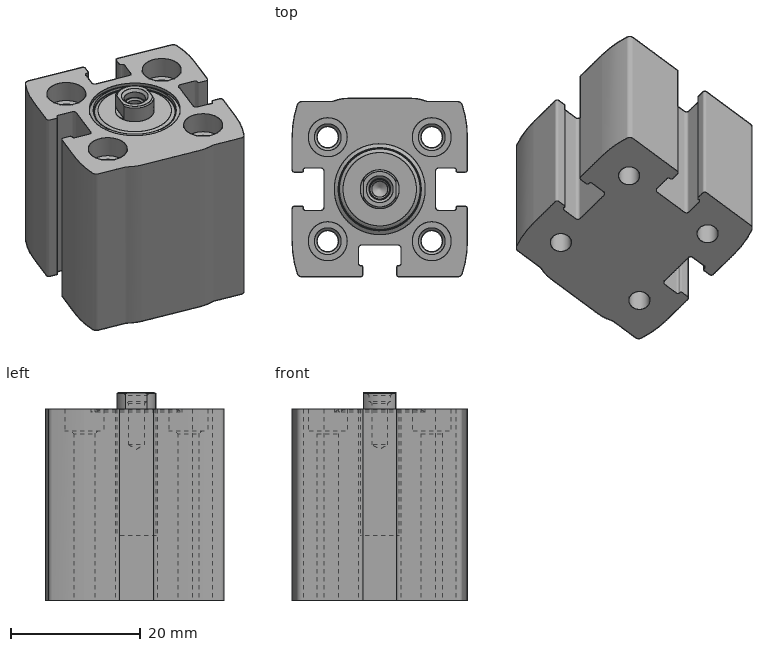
import cadquery as cq
import math

HEIGHT = 29.5
HALF = 13.5
SIDE_FLAT_HALF = 8.0
SIDE_RADIUS = 16.0
CORNER_RADIUS = 0.8

CROWN_RISE = 0.5
CROWN_TOP_HALF = 4.8
CROWN_FOOT_HALF = 7.3
CROWN_FOOT_RADIUS = 1.0

SLOT_MOUTH = 5.2
SLOT_WIDTH = 6.5
SLOT_DEPTH = 4.9
LIP_THICKNESS = 1.75
SLOT_FLOOR_RADIUS = 0.5
LIP_ROOT_RADIUS = 0.3
LIP_INNER_RADIUS = 0.25
LIP_OUTER_RADIUS = 0.4
SLOT_ANGLES = (-90, 0, 90)

MOUNT_PITCH = 16.0
MOUNT_BORE = 3.24
MOUNT_CHAMFER_BORE = 4.13
COUNTERBORE = 6.0
COUNTERBORE_DEPTH = 3.4

RECESS_RADIUS = 7.0
RECESS_DEPTH = 0.5
BEVEL_TOP_RADIUS = 6.4
BEVEL_TOP_DEPTH = 0.15
GROOVE_OUTER_RADIUS = 6.3
GROOVE_INNER_RADIUS = 6.2
GROOVE_DEPTH = 0.5
SHOULDER_RADIUS = 5.9
SHOULDER_DEPTH = 0.3
FACE_RADIUS = 5.65
FACE_DEPTH = 0.2

ROD_TOP = HEIGHT + 2.5
ROD_BOTTOM = 10.0
ROD_RADIUS = 3.0
ROD_CHAMFER_HEIGHT = 0.15
ROD_CHAMFER_WIDTH = 0.27
FLATS_WIDTH = 5.0
RUNOUT_TOP = HEIGHT
RUNOUT_BOTTOM = HEIGHT - FACE_DEPTH

COUNTERSINK_DIAMETER = 4.13
RELIEF_DIAMETER = 3.3
RELIEF_DEPTH = 1.4
THREAD_ENTRY_DIAMETER = 3.0
THREAD_BORE = 2.46
THREAD_DEPTH = 8.0
CONE_ANGLE = 90.0
DRILL_TIP_ANGLE = 118.0


def revolve_about_z(points):
    """Solid of revolution from (radius, z) points."""
    return cq.Workplane("XZ").polyline(points).close().revolve(360, (0, 0), (0, 1))


def make_cylinder(radius, bottom_z, top_z):
    return cq.Workplane("XY", origin=(0, 0, bottom_z)).circle(radius).extrude(top_z - bottom_z)


def cone_height(outer_diameter, inner_diameter, included_angle):
    return (outer_diameter - inner_diameter) / 2 / math.tan(math.radians(included_angle / 2))


def block(width, y_min, y_max):
    """Full-height block centred on X."""
    return cq.Workplane("XY").center(0, (y_min + y_max) / 2).rect(width, y_max - y_min).extrude(HEIGHT)


def fillet_upright_pair(body, x, y, radius):
    """Fillet the upright edges that stand at (-x, y) and (x, y)."""
    reach = 0.01
    pair = cq.selectors.BoxSelector((-x - reach, y - reach, 0), (x + reach, y + reach, HEIGHT))
    return body.edges("|Z").edges(pair).fillet(radius)


def make_barrel():
    """Square block with bowed side walls and rounded corners."""
    bow_length = HALF - SIDE_FLAT_HALF
    corner_x = HALF - SIDE_RADIUS + math.sqrt(SIDE_RADIUS**2 - bow_length**2)
    half_bow = math.asin(bow_length / SIDE_RADIUS) / 2
    mid_x = HALF - SIDE_RADIUS * (1 - math.cos(half_bow))
    mid_y = SIDE_FLAT_HALF + SIDE_RADIUS * math.sin(half_bow)
    barrel = (
        cq.Workplane("XY")
        .moveTo(HALF, -SIDE_FLAT_HALF)
        .lineTo(HALF, SIDE_FLAT_HALF)
        .threePointArc((mid_x, mid_y), (corner_x, HALF))
        .lineTo(-corner_x, HALF)
        .threePointArc((-mid_x, mid_y), (-HALF, SIDE_FLAT_HALF))
        .lineTo(-HALF, -SIDE_FLAT_HALF)
        .threePointArc((-mid_x, -mid_y), (-corner_x, -HALF))
        .lineTo(corner_x, -HALF)
        .threePointArc((mid_x, -mid_y), (HALF, -SIDE_FLAT_HALF))
        .close()
        .extrude(HEIGHT)
    )
    return barrel.edges("|Z").edges("<Y or >Y").fillet(CORNER_RADIUS)


def make_crown():
    """Strip on the +Y wall whose flat top falls away to the wall along an arc at each end."""
    arc_run = CROWN_FOOT_HALF - CROWN_TOP_HALF
    arc_radius = (arc_run**2 + CROWN_RISE**2) / (2 * CROWN_RISE)
    top_y = HALF + CROWN_RISE
    return (
        cq.Workplane("XY")
        .moveTo(-CROWN_FOOT_HALF, HALF)
        .radiusArc((-CROWN_TOP_HALF, top_y), arc_radius)
        .lineTo(CROWN_TOP_HALF, top_y)
        .radiusArc((CROWN_FOOT_HALF, HALF), arc_radius)
        .close()
        .extrude(HEIGHT)
    )


def make_slot_cutter():
    """T-slot of the -Y wall, widening into the open space outside the wall."""
    lip_y = -HALF + LIP_THICKNESS
    pocket = block(SLOT_WIDTH, lip_y, -HALF + SLOT_DEPTH)
    pocket = pocket.edges("|Z and >Y").fillet(SLOT_FLOOR_RADIUS)
    pocket = pocket.edges("|Z and <Y").fillet(LIP_ROOT_RADIUS)
    neck = block(SLOT_MOUTH, -HALF, lip_y)
    outside = block(2 * SLOT_WIDTH, -HALF - LIP_THICKNESS, -HALF)
    cutter = pocket.union(neck).union(outside)
    cutter = fillet_upright_pair(cutter, SLOT_MOUTH / 2, lip_y, LIP_INNER_RADIUS)
    return fillet_upright_pair(cutter, SLOT_MOUTH / 2, -HALF, LIP_OUTER_RADIUS)


def make_mount_hole_cutter():
    """Through hole with a chamfered counterbore, on the Z axis."""
    seat_z = HEIGHT - COUNTERBORE_DEPTH
    chamfer = (MOUNT_CHAMFER_BORE - MOUNT_BORE) / 2
    return revolve_about_z([
        (0, 0),
        (MOUNT_BORE / 2, 0),
        (MOUNT_BORE / 2, seat_z - chamfer),
        (MOUNT_CHAMFER_BORE / 2, seat_z),
        (COUNTERBORE / 2, seat_z),
        (COUNTERBORE / 2, HEIGHT),
        (0, HEIGHT),
    ])


def make_face_cutter():
    """Material removed above the bevelled ring, the groove and the flat face around the rod."""
    return revolve_about_z([
        (0, HEIGHT),
        (RECESS_RADIUS, HEIGHT),
        (RECESS_RADIUS, HEIGHT - RECESS_DEPTH),
        (BEVEL_TOP_RADIUS, HEIGHT - BEVEL_TOP_DEPTH),
        (GROOVE_OUTER_RADIUS, HEIGHT - GROOVE_DEPTH),
        (GROOVE_INNER_RADIUS, HEIGHT - GROOVE_DEPTH),
        (SHOULDER_RADIUS, HEIGHT - SHOULDER_DEPTH),
        (FACE_RADIUS, HEIGHT - FACE_DEPTH),
        (0, HEIGHT - FACE_DEPTH),
    ])


def make_housing():
    body = make_barrel().union(make_crown())
    body = fillet_upright_pair(body, CROWN_FOOT_HALF, HALF, CROWN_FOOT_RADIUS)
    slot = make_slot_cutter()
    for angle in SLOT_ANGLES:
        body = body.cut(slot.rotate((0, 0, 0), (0, 0, 1), angle))
    mount_hole = make_mount_hole_cutter()
    for x in (-MOUNT_PITCH / 2, MOUNT_PITCH / 2):
        for y in (-MOUNT_PITCH / 2, MOUNT_PITCH / 2):
            body = body.cut(mount_hole.translate((x, y, 0)))
    rod_hole = make_cylinder(ROD_RADIUS, ROD_BOTTOM, HEIGHT)
    return body.cut(make_face_cutter()).cut(rod_hole)


def make_rod_blank():
    """Chamfered round rod with two wrench flats that face -X and +X."""
    blank = make_cylinder(ROD_RADIUS, ROD_BOTTOM, ROD_TOP)
    blank = blank.faces(">Z").chamfer(ROD_CHAMFER_HEIGHT, ROD_CHAMFER_WIDTH)
    flats_envelope = (
        cq.Workplane("XZ")
        .polyline([
            (-ROD_RADIUS, ROD_BOTTOM),
            (ROD_RADIUS, ROD_BOTTOM),
            (ROD_RADIUS, RUNOUT_BOTTOM),
            (FLATS_WIDTH / 2, RUNOUT_TOP),
            (FLATS_WIDTH / 2, ROD_TOP),
            (-FLATS_WIDTH / 2, ROD_TOP),
            (-FLATS_WIDTH / 2, RUNOUT_TOP),
            (-ROD_RADIUS, RUNOUT_BOTTOM),
        ])
        .close()
        .extrude(ROD_RADIUS, both=True)
    )
    return blank.intersect(flats_envelope)


def make_thread_cutter():
    """Countersunk and relieved threaded hole with a drilled tip."""
    relief_z = ROD_TOP - RELIEF_DEPTH
    countersink = cone_height(COUNTERSINK_DIAMETER, RELIEF_DIAMETER, CONE_ANGLE)
    entry = cone_height(THREAD_ENTRY_DIAMETER, THREAD_BORE, CONE_ANGLE)
    tip = cone_height(THREAD_BORE, 0, DRILL_TIP_ANGLE)
    thread_end_z = ROD_TOP - THREAD_DEPTH
    return revolve_about_z([
        (0, thread_end_z - tip),
        (THREAD_BORE / 2, thread_end_z),
        (THREAD_BORE / 2, relief_z - entry),
        (THREAD_ENTRY_DIAMETER / 2, relief_z),
        (RELIEF_DIAMETER / 2, relief_z),
        (RELIEF_DIAMETER / 2, ROD_TOP - countersink),
        (COUNTERSINK_DIAMETER / 2, ROD_TOP),
        (0, ROD_TOP),
    ])


def make_rod():
    return make_rod_blank().cut(make_thread_cutter())


housing = make_housing()
rod = make_rod()
result = cq.Compound.makeCompound([housing.solids().val(), rod.solids().val()])